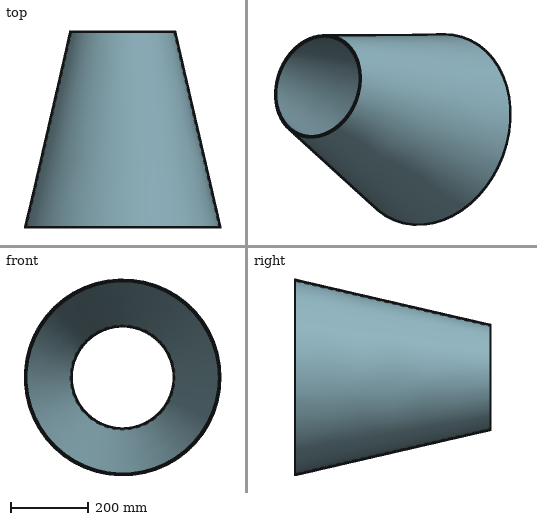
import cadquery as cq

length = 508.0
large_diameter = 508.0
small_diameter = 273.0
wall = 4.0

large_radius = large_diameter / 2
small_radius = small_diameter / 2
large_end = -length / 2
small_end = length / 2

wall_section = (
    cq.Workplane("XY")
    .moveTo(large_radius, large_end)
    .lineTo(small_radius, small_end)
    .lineTo(small_radius - wall, small_end)
    .lineTo(large_radius - wall, large_end)
    .close()
)

result = wall_section.revolve(360, (0, 0, 0), (0, 1, 0))